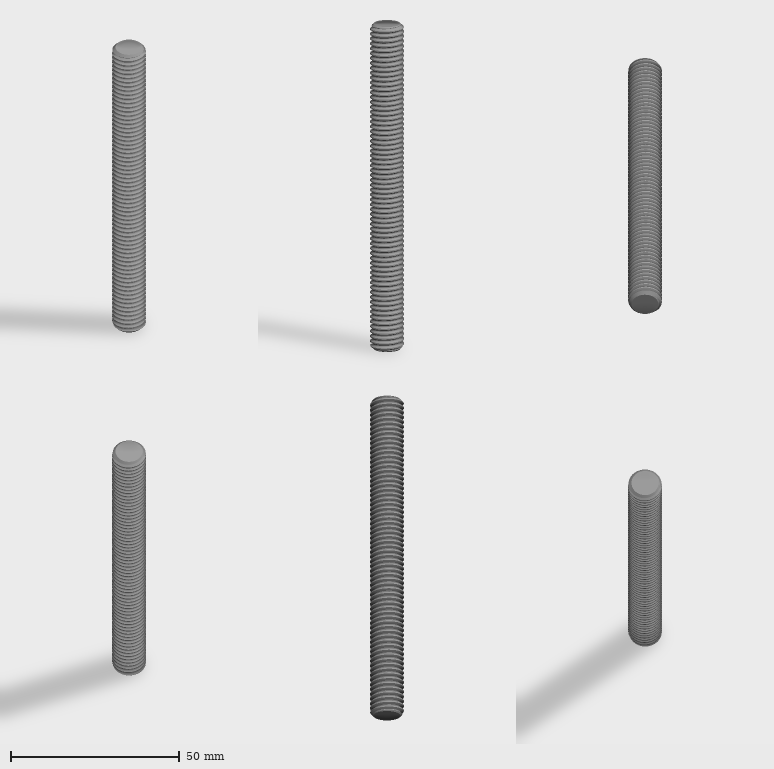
import cadquery as cq
import math

length = 100.0
major_diameter = 10.0
pitch = 1.5
flank_angle = 60.0
thread_depth = 0.81
crest_flat = pitch / 4
end_chamfer = 1.0
groove_phase = pitch / 8

cutter_clearance = 0.1
overrun_turns = 2

major_radius = major_diameter / 2
root_radius = major_radius - thread_depth


def chamfered_rod():
    """Plain rod with a chamfer at both ends."""
    rod = cq.Workplane("XY").circle(major_radius).extrude(length)
    return rod.edges().chamfer(end_chamfer)


def helix_path(start, turns):
    """Right-handed helix at the thread root, made of one edge per turn."""
    edges = []
    for turn in range(turns):
        base = cq.Vector(0, 0, start + turn * pitch)
        edges += cq.Wire.makeHelix(pitch, pitch, root_radius, base).Edges()
    return cq.Workplane(cq.Wire.assembleEdges(edges))


def thread_groove():
    """Helical cutter with a flat-bottomed V section."""
    flank_slope = math.tan(math.radians(flank_angle / 2))
    half_gap = (pitch - crest_flat) / 2
    half_mouth = half_gap + cutter_clearance * flank_slope
    half_root = half_gap - thread_depth * flank_slope
    outer_radius = major_radius + cutter_clearance
    start = groove_phase - overrun_turns * pitch
    turns = math.ceil(length / pitch) + 2 * overrun_turns

    section = cq.Workplane("XZ").polyline([
        (root_radius, start - half_root),
        (outer_radius, start - half_mouth),
        (outer_radius, start + half_mouth),
        (root_radius, start + half_root),
    ]).close()
    return section.sweep(helix_path(start, turns), isFrenet=True)


result = chamfered_rod().cut(thread_groove())